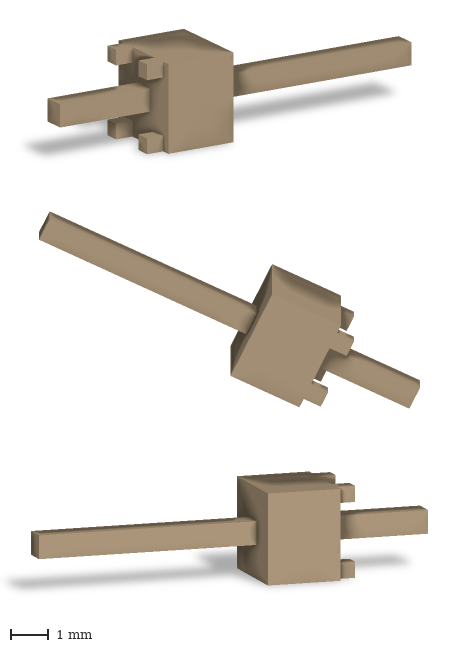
import cadquery as cq

pin_length = 10.92
pin_width = 0.64
pin_front = -2.78

housing_width = 2.54
housing_depth = 2.03
housing_height = 2.49

foot_size = 0.44
foot_length = 0.5
foot_side_inset = 0.26


def y_bar(width, height, front, length, x=0, z=0):
    """Rectangular bar along +Y, starting at Y = front and centred at (x, z)."""
    return cq.Workplane("XY").box(width, length, height).translate((x, front + length / 2, z))


def make_pin():
    return y_bar(pin_width, pin_width, pin_front, pin_length)


def make_housing():
    body = y_bar(housing_width, housing_height, 0, housing_depth)
    foot_x = housing_width / 2 - foot_side_inset - foot_size / 2
    foot_z = (housing_height - foot_size) / 2
    for x in (-foot_x, foot_x):
        for z in (-foot_z, foot_z):
            body = body.union(y_bar(foot_size, foot_size, -foot_length, foot_length, x, z))
    return body.cut(make_pin())


housing = make_housing()
pin = make_pin()

result = cq.Compound.makeCompound([housing.solids().val(), pin.solids().val()])